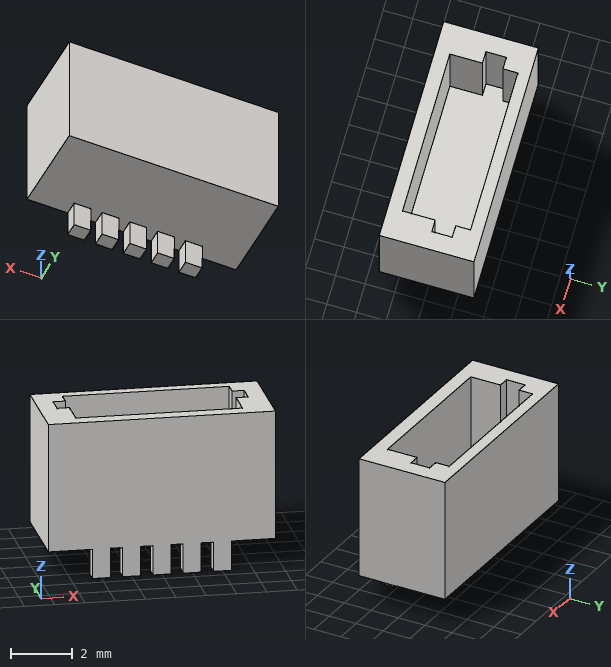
import cadquery as cq

length = 7.5
width = 3.2
total_height = 5.35
pin_length = 1.0
body_height = total_height - pin_length

cavity_length = 5.5
back_wall = 0.405
front_wall = 0.5
floor_thickness = 0.5
cavity_width = width - back_wall - front_wall
cavity_depth = body_height - floor_thickness

key_span = 6.3
key_width = 0.69
key_to_back = 0.91

pin_count = 5
pin_pitch = 1.0
pin_width = 0.6
pin_thickness = 0.5

front_y = -width / 2
back_y = width / 2


def block(size_x, size_y, size_z, center_x, start_y, start_z):
    """Box centred on center_x, growing in +Y and +Z from its start."""
    return (
        cq.Workplane("XY")
        .box(size_x, size_y, size_z, centered=(True, False, False))
        .translate((center_x, start_y, start_z))
    )


def make_housing():
    body = block(length, width, body_height, 0, front_y, 0)
    cavity = block(cavity_length, cavity_width, cavity_depth, 0, front_y + front_wall, floor_thickness)
    key_start = back_y - key_to_back - key_width
    keys = block(key_span, key_width, cavity_depth, 0, key_start, floor_thickness)
    return body.cut(cavity).cut(keys)


def add_pins(part):
    for index in range(pin_count):
        pin_x = (index - (pin_count - 1) / 2) * pin_pitch
        pin = block(pin_width, pin_thickness, pin_length, pin_x, front_y, -pin_length)
        part = part.union(pin)
    return part


result = add_pins(make_housing())